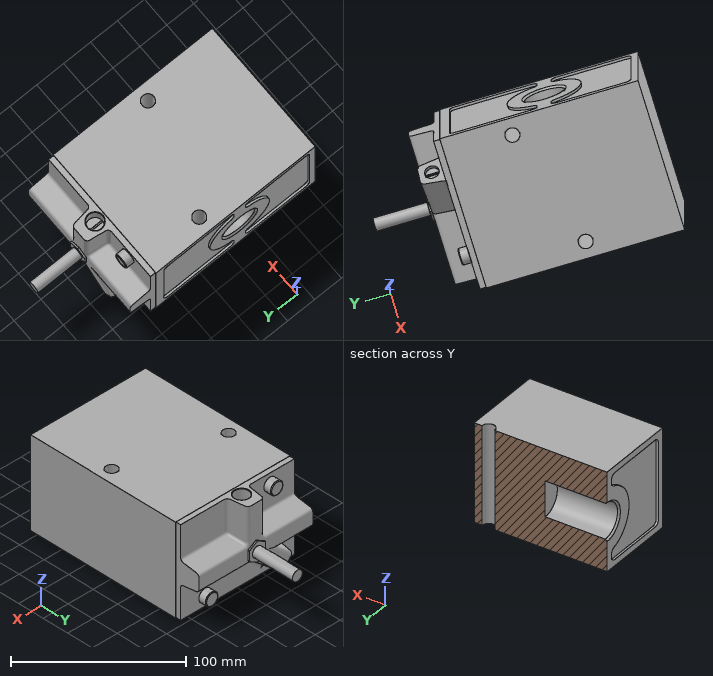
import cadquery as cq
import math

body_width = 92.0
body_height = 68.0
body_length = 118.3
mount_hole_dia = 8.5
mount_hole_x = 36.0
bore_y = 56.1
left_mount_hole_y = 78.0

bore_dia = 24.1
bore_depth = 42.8
bore_chamfer = 1.2
pocket_depth = 1.5
pocket_front_y = 4.3
pocket_back_y = 112.5
pocket_height = 59.2
pocket_ring_radius = 22.0
pocket_bridge = 8.5
pocket_corner = 3.5

cover_width = 91.1
cover_height = 67.9
cover_thickness = 3.8
cover_face_y = body_length + cover_thickness
rib_height = 15.0
rib_top_y = cover_face_y + rib_height
rib_base_width = 17.0
rib_draft = 8.0
rib_top_fillet = 2.7
rib_foot_fillet = 2.5
rib_corner_fillet = 1.9
rib_run = 102.6
edge_gap = 0.2
top_rib_angle = 90.0
slanted_rib_angle = 220.0
slanted_rib_length = 33.2

slot_width = 1.0
slot_depth = 0.5
top_screw_dia = 11.0
top_screw_chamfer = 0.3
top_screw_y = 125.3
top_screw_sink = 10.3
slanted_screw_dia = 8.5
slanted_screw_y = 129.3
slanted_screw_sink = 2.2

cap_screw_dia = 10.0
cap_screw_height = 5.8
cap_screw_chamfer = 0.5
cap_screw_offset = 26.0
nut_across_flats = 13.2
nut_height = 1.2
cable_dia = 8.0
cable_end_y = 171.0


def block(width, height, start_y, end_y):
    """Box centred on the Y axis between two Y positions."""
    return cq.Workplane("XY").box(width, end_y - start_y, height).translate((0, (start_y + end_y) / 2, 0))


def backward(y):
    """Workplane at the given Y facing +Y, with local axes (Z, X)."""
    return cq.Workplane("ZX", origin=(0, y, 0))


def turned(shape, angle):
    """Turn a shape lying along +X by an angle from +X towards +Z."""
    return shape.rotate((0, 0, 0), (0, 1, 0), -angle)


def pocket(end_y, bridge_side):
    """Side pocket between the bridge and end_y, wrapped around the bore's land."""
    bridge_y = bore_y + bridge_side * pocket_bridge / 2
    mid_y = (end_y + bridge_y) / 2
    left_x = -body_width / 2
    blank = (
        cq.Workplane("XY")
        .box(2 * pocket_depth, abs(end_y - bridge_y), pocket_height)
        .translate((left_x, mid_y, 0))
    )
    land = cq.Workplane("YZ", origin=(left_x, bore_y, 0)).circle(pocket_ring_radius)
    return blank.cut(land.extrude(pocket_depth, both=True)).edges("|X").fillet(pocket_corner)


def make_body():
    body = block(body_width, body_height, 0, body_length)
    holes = (
        cq.Workplane("XY")
        .pushPoints([(-mount_hole_x, left_mount_hole_y), (mount_hole_x, bore_y)])
        .circle(mount_hole_dia / 2)
        .extrude(body_height, both=True)
    )
    body = body.cut(holes)
    side = cq.Workplane("YZ", origin=(-body_width / 2, bore_y, 0))
    body = body.cut(side.circle(bore_dia / 2).extrude(bore_depth))
    rim = side.circle(bore_dia / 2 + bore_chamfer).extrude(bore_chamfer, taper=45)
    body = body.cut(rim)
    for end_y, bridge_side in ((pocket_front_y, -1), (pocket_back_y, 1)):
        body = body.cut(pocket(end_y, bridge_side))
    return body


def rib(start, end):
    """Drafted bar on the cover face running along X from start to end."""
    return (
        backward(cover_face_y)
        .center(0, (start + end) / 2)
        .rect(rib_base_width, end - start)
        .extrude(rib_height, taper=rib_draft)
    )


def slab_around(half_width, y, half_thickness):
    """Selector for edges centred in a square slab facing Y."""
    return cq.selectors.BoxSelector(
        (-half_width, y - half_thickness, -half_width),
        (half_width, y + half_thickness, half_width),
    )


def make_cover():
    ribs = rib(-rib_run, rib_run).union(turned(rib(0, rib_run), top_rib_angle))
    rib_middle = slab_around(rib_run / 2, cover_face_y + rib_height / 2, rib_height / 2 - edge_gap)
    ribs = ribs.edges(rib_middle).fillet(rib_corner_fillet)
    ribs = ribs.union(turned(rib(0, rib_run), slanted_rib_angle))
    ribs = ribs.faces(">Y").edges().fillet(rib_top_fillet)

    plate_half_width = 2 * rib_run
    wide_plate = block(2 * plate_half_width, 2 * plate_half_width, body_length, cover_face_y)
    rib_feet = slab_around(plate_half_width - rib_run / 2, cover_face_y, edge_gap)
    cover = wide_plate.union(ribs).edges(rib_feet).fillet(rib_foot_fillet)
    cover = cover.intersect(block(cover_width, cover_height, body_length, rib_top_y))
    beyond_slanted_rib = (
        block(rib_run, rib_base_width + 2 * rib_foot_fillet, cover_face_y, rib_top_y)
        .translate((slanted_rib_length + rib_run / 2, 0, 0))
    )
    return cover.cut(turned(beyond_slanted_rib, slanted_rib_angle))


def sunk_screw(end_face, y, diameter, sink):
    """Hole and screw slot to cut into a rib whose end face lies at X = end_face."""
    hole = cq.Workplane("YZ", origin=(end_face - sink, y, 0)).circle(diameter / 2)
    slot_floor = cq.Workplane("YZ", origin=(end_face - sink - slot_depth, y, 0))
    slot = slot_floor.rect(diameter, slot_width).extrude(slot_depth)
    return hole.extrude(sink).union(slot)


def screw_mouth(end_face, y, diameter, chamfer):
    """Cone to cut as a chamfer around a screw hole's mouth."""
    mouth = cq.Workplane("YZ", origin=(end_face, y, 0)).circle(diameter / 2 + chamfer)
    return mouth.extrude(-chamfer, taper=45)


def make_cap_screws():
    """Two cover screws on opposite corners, clear of the ribs."""
    return (
        backward(cover_face_y)
        .pushPoints([(cap_screw_offset, -cap_screw_offset), (-cap_screw_offset, cap_screw_offset)])
        .circle(cap_screw_dia / 2)
        .extrude(cap_screw_height)
        .faces(">Y")
        .chamfer(cap_screw_chamfer)
    )


def make_cable():
    """Cable leaving the middle of the ribs through a low hexagonal nut."""
    nut_across_corners = nut_across_flats / math.cos(math.pi / 6)
    nut = backward(rib_top_y).polygon(6, nut_across_corners).extrude(nut_height)
    cable = backward(rib_top_y).circle(cable_dia / 2).extrude(cable_end_y - rib_top_y)
    return nut.union(cable)


top_screw = sunk_screw(cover_height / 2, top_screw_y, top_screw_dia, top_screw_sink)
top_screw = top_screw.union(screw_mouth(cover_height / 2, top_screw_y, top_screw_dia, top_screw_chamfer))
slanted_screw = sunk_screw(slanted_rib_length, slanted_screw_y, slanted_screw_dia, slanted_screw_sink)

result = (
    make_body()
    .union(make_cover())
    .cut(turned(top_screw, top_rib_angle))
    .cut(turned(slanted_screw, slanted_rib_angle))
    .union(make_cap_screws())
    .union(make_cable())
)